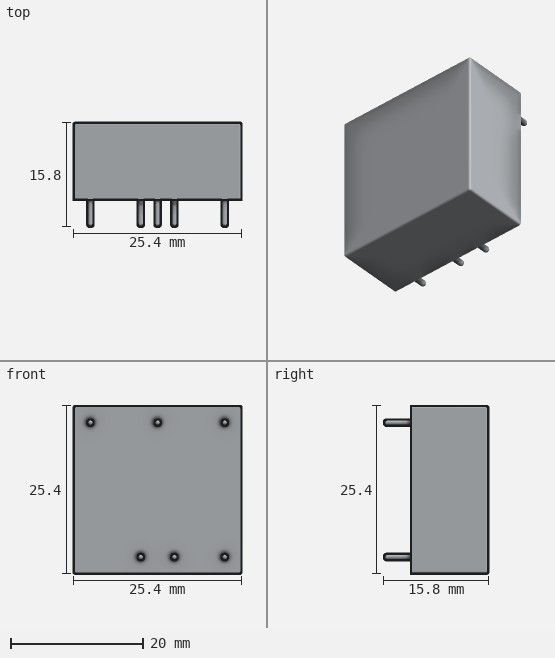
import cadquery as cq
import math

BODY_SIDE = 25.4
BODY_DEPTH = 11.7
EDGE_RADIUS = 0.35

PIN_DIAMETER = 1.0
PIN_RADIUS = PIN_DIAMETER / 2
PIN_LENGTH = 4.1
DOME_HEIGHT = 0.45
PITCH = 2.54
ROW_OFFSET = 4 * PITCH

UPPER_ROW_X = (-4 * PITCH, 0, 4 * PITCH)
LOWER_ROW_X = (-PITCH, PITCH, 4 * PITCH)


def make_body():
    """Block with rounded side edges and rear rim; the pin face keeps a sharp rim."""
    block = cq.Workplane("XY").box(BODY_SIDE, BODY_DEPTH, BODY_SIDE, centered=(True, False, True))
    return block.edges("|Y or >Y").fillet(EDGE_RADIUS)


def make_pin(x, z):
    """Pin pointing toward -Y from the front face, with a domed tip."""
    shank_end = -(PIN_LENGTH - DOME_HEIGHT)
    dome_radius = (PIN_RADIUS**2 + DOME_HEIGHT**2) / (2 * DOME_HEIGHT)
    dome_center = -PIN_LENGTH + dome_radius
    mid_angle = math.atan2(PIN_RADIUS, dome_center - shank_end) / 2
    arc_middle = (
        dome_radius * math.sin(mid_angle),
        dome_center - dome_radius * math.cos(mid_angle),
    )
    half_profile = (
        cq.Workplane("XY")
        .lineTo(PIN_RADIUS, 0)
        .lineTo(PIN_RADIUS, shank_end)
        .threePointArc(arc_middle, (0, -PIN_LENGTH))
        .close()
    )
    return half_profile.revolve(360, (0, 0), (0, 1)).translate((x, 0, z))


result = make_body()
for row_x, row_z in ((UPPER_ROW_X, ROW_OFFSET), (LOWER_ROW_X, -ROW_OFFSET)):
    for pin_x in row_x:
        result = result.union(make_pin(pin_x, row_z))